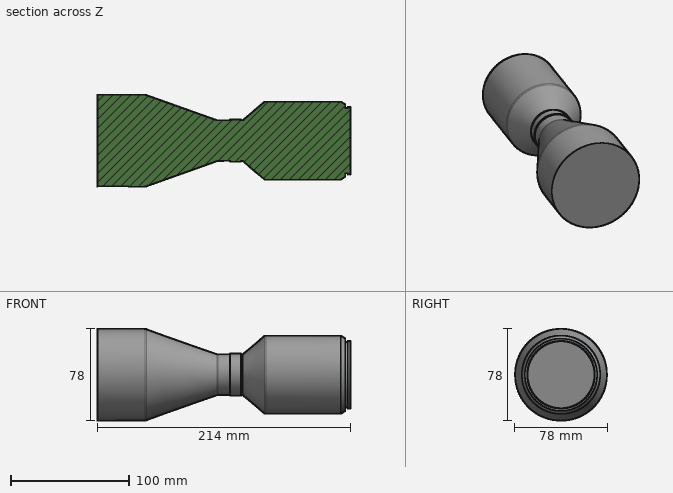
import cadquery as cq

total_length = 214.0
head_radius = 39.0
neck_radius = 17.3
ring_radius = 18.0
body_radius = 33.2
shoulder_radius = 30.6
groove_radius = 27.8
flange_radius = 28.7

front_cone_start = 40.5
front_cone_end = 101.3
ring_start = 112.0
ring_end = 121.8
rear_cone_start = 123.0
rear_cone_end = 141.5
body_end = 206.0
shoulder_end = 209.8
flange_start = 211.7

flange_chamfer = 0.5
head_blend_radius = 3.9
cone_blend_radius = 2.1
ring_chamfer = 0.5

profile = [
    (0, 0),
    (0, head_radius),
    (front_cone_start, head_radius),
    (front_cone_end, neck_radius),
    (ring_start, neck_radius),
    (ring_start, ring_radius),
    (ring_end, ring_radius),
    (ring_end, neck_radius),
    (rear_cone_start, neck_radius),
    (rear_cone_end, body_radius),
    (body_end, body_radius),
    (shoulder_end, shoulder_radius),
    (shoulder_end, groove_radius),
    (flange_start, groove_radius),
    (flange_start, flange_radius),
    (total_length, flange_radius),
    (total_length, 0),
]
turned = cq.Workplane("XY").polyline(profile).close().revolve(360, (0, 0, 0), (1, 0, 0))


def edges_at(station):
    """Select the circular edges lying in the plane X = station."""
    margin = 0.1
    reach = 2 * head_radius
    return cq.selectors.BoxSelector(
        (station - margin, -reach, -reach),
        (station + margin, reach, reach),
        boundingbox=True,
    )


turned = turned.edges(edges_at(front_cone_start)).fillet(head_blend_radius)
for station in (front_cone_end, rear_cone_end):
    turned = turned.edges(edges_at(station)).fillet(cone_blend_radius)

ring_rims = cq.selectors.RadiusNthSelector(-1)
for station in (ring_start, ring_end):
    turned = turned.edges(edges_at(station)).edges(ring_rims).chamfer(ring_chamfer)

result = turned.edges(edges_at(total_length)).chamfer(flange_chamfer)